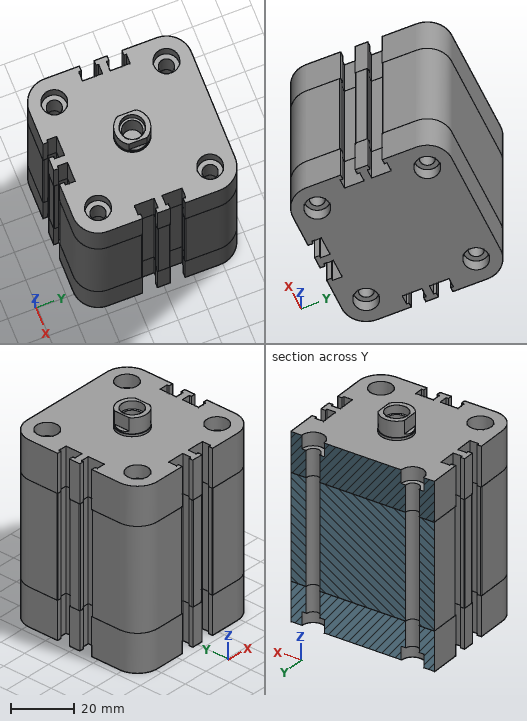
import cadquery as cq

WIDTH = 55.0
TOTAL_HEIGHT = 77.0
ROD_PROTRUSION = 7.0
CAP_HEIGHT = 15.0
CORNER_RADIUS = 8.5
HOUSING_HEIGHT = TOTAL_HEIGHT - ROD_PROTRUSION
BARREL_HEIGHT = HOUSING_HEIGHT - 2 * CAP_HEIGHT
FRONT_CAP_BASE = CAP_HEIGHT + BARREL_HEIGHT

HOLE_DIAMETER = 5.1
COUNTERBORE_DIAMETER = 8.5
COUNTERBORE_DEPTH = 5.0
HOLE_SPACING = WIDTH - 2 * CORNER_RADIUS

SLOT_OFFSET = 4.7
SLOT_MOUTH_WIDTH = 5.0
SLOT_INNER_WIDTH = 6.8
SLOT_DEPTH = 5.0
SLOT_LIP = 1.7
LIP_CHAMFER = 0.3
SLOT_SIDE_ANGLES = (0, 90, -90)

ROD_DIAMETER = 12.0
ROD_TIP_DIAMETER = 11.8
SHOULDER_HEIGHT = 1.0
SHOULDER_CHAMFER = (ROD_DIAMETER - ROD_TIP_DIAMETER) / 2
FLATS_WIDTH = 10.0
FLATS_HEIGHT = 2.0
FLATS_RUNOUT_DROP = 0.55
THREAD_DIAMETER = 6.8
THREAD_END_DEPTH = 12.0
RECESS_DIAMETER = 8.3
RECESS_DEPTH = 3.0


def slot_cutter(height, lip_chamfer):
    """Pair of T-slots along Z in the -Y side, with optional chamfers on the mouth."""
    side = -WIDTH / 2
    mouth = SLOT_MOUTH_WIDTH / 2
    inner = SLOT_INNER_WIDTH / 2
    right_half = [
        (mouth + lip_chamfer, side),
        (mouth, side + lip_chamfer),
        (mouth, side + SLOT_LIP),
        (inner, side + SLOT_LIP),
        (inner, side + SLOT_DEPTH),
    ]
    left_half = [(-x, y) for x, y in reversed(right_half)]
    outline = right_half + left_half
    if lip_chamfer == 0:
        outline = outline[1:-1]
    slot = cq.Workplane("XY").polyline(outline).close().extrude(height)
    return slot.translate((-SLOT_OFFSET, 0, 0)).add(slot.translate((SLOT_OFFSET, 0, 0)))


def housing_section(height, lip_chamfer=0.0):
    """Rounded square block with the sensor slots and the four through holes."""
    block = cq.Workplane("XY").rect(WIDTH, WIDTH).extrude(height)
    block = block.edges("|Z").fillet(CORNER_RADIUS)
    for slot in slot_cutter(height, lip_chamfer).vals():
        for angle in SLOT_SIDE_ANGLES:
            block = block.cut(cq.Workplane(slot.rotate((0, 0, 0), (0, 0, 1), angle)))
    holes = (
        cq.Workplane("XY")
        .rect(HOLE_SPACING, HOLE_SPACING, forConstruction=True)
        .vertices()
        .circle(HOLE_DIAMETER / 2)
        .extrude(height)
    )
    return block.cut(holes)


def end_cap():
    """Housing section whose mounting holes are counterbored from the top."""
    counterbores = (
        cq.Workplane("XY")
        .workplane(offset=CAP_HEIGHT - COUNTERBORE_DEPTH)
        .rect(HOLE_SPACING, HOLE_SPACING, forConstruction=True)
        .vertices()
        .circle(COUNTERBORE_DIAMETER / 2)
        .extrude(COUNTERBORE_DEPTH)
    )
    return housing_section(CAP_HEIGHT).cut(counterbores)


def make_rear_cap():
    """End cap turned over, so that its counterbores open downwards."""
    return end_cap().mirror("XY").translate((0, 0, CAP_HEIGHT))


def make_barrel():
    return housing_section(BARREL_HEIGHT, LIP_CHAMFER).translate((0, 0, CAP_HEIGHT))


def make_front_cap():
    """End cap with a central bore for the piston rod."""
    bore = cq.Workplane("XY").circle(ROD_DIAMETER / 2).extrude(CAP_HEIGHT)
    return end_cap().cut(bore).translate((0, 0, FRONT_CAP_BASE))


def wrench_flat_cutter():
    """Material removed on the +X side of the tip; its foot slopes down outwards."""
    flat = FLATS_WIDTH / 2
    tip = ROD_TIP_DIAMETER / 2
    foot = HOUSING_HEIGHT + FLATS_HEIGHT
    return (
        cq.Workplane("XZ")
        .moveTo(flat, TOTAL_HEIGHT)
        .lineTo(flat, foot)
        .lineTo(tip, foot - FLATS_RUNOUT_DROP)
        .lineTo(tip, TOTAL_HEIGHT)
        .close()
        .extrude(ROD_DIAMETER / 2, both=True)
    )


def make_piston_rod():
    """Stepped rod with two wrench flats and a threaded hole in its end."""
    shoulder = HOUSING_HEIGHT + SHOULDER_HEIGHT
    rod = (
        cq.Workplane("XZ")
        .moveTo(0, FRONT_CAP_BASE)
        .lineTo(ROD_DIAMETER / 2, FRONT_CAP_BASE)
        .lineTo(ROD_DIAMETER / 2, shoulder - SHOULDER_CHAMFER)
        .lineTo(ROD_TIP_DIAMETER / 2, shoulder)
        .lineTo(ROD_TIP_DIAMETER / 2, TOTAL_HEIGHT)
        .lineTo(0, TOTAL_HEIGHT)
        .close()
        .revolve(360, (0, 0, 0), (0, 1, 0))
    )
    flat_cut = wrench_flat_cutter()
    rod = rod.cut(flat_cut).cut(flat_cut.mirror("YZ"))
    return rod.faces(">Z").workplane(origin=(0, 0, TOTAL_HEIGHT)).cboreHole(
        THREAD_DIAMETER, RECESS_DIAMETER, RECESS_DEPTH, THREAD_END_DEPTH
    )


rear_cap = make_rear_cap()
barrel = make_barrel()
front_cap = make_front_cap()
piston_rod = make_piston_rod()

result = cq.Compound.makeCompound(
    [rear_cap.val(), barrel.val(), front_cap.val(), piston_rod.val()]
)